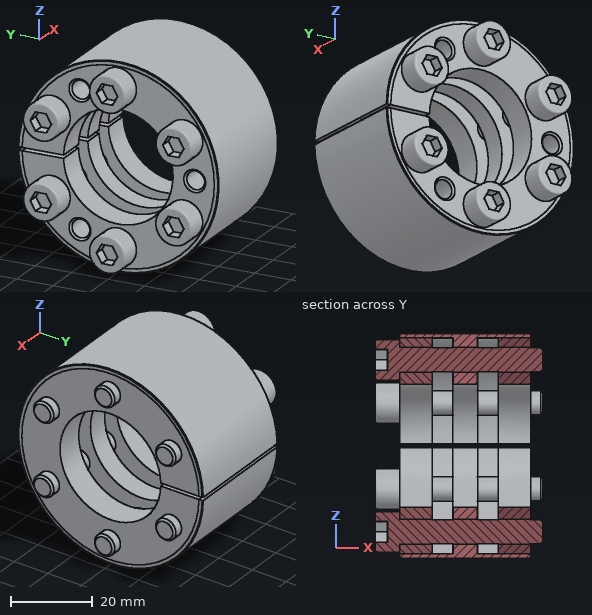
import cadquery as cq
import math

outer_diameter = 55.0
overall_length = 41.0
body_length = 32.0
bore_diameter = 30.0
slit_width = 0.9

seat_diameter = 52.7
sleeve_chamfer = 0.2
clamping_ring_length = 8.0
web_gap = 5.0

screw_count = 6
hole_circle_diameter = 41.95
head_diameter = 10.0
head_length = 6.0
head_fillet = 0.55
shank_diameter = 6.0
tip_chamfer = 0.55
hex_across_flats = 5.0
hex_depth = 3.0

jack_hole_count = 3
jack_hole_diameter = 4.9
jack_hole_mouth_diameter = 6.0

rear_ring_start = body_length - clamping_ring_length
web_start = clamping_ring_length + web_gap
web_length = body_length - 2 * web_start
hole_circle_radius = hole_circle_diameter / 2
shank_length = overall_length - head_length
screw_step = 360.0 / screw_count
first_screw_angle = screw_step / 2
screw_angles = [first_screw_angle + i * screw_step for i in range(screw_count)]
jack_step = 360.0 / jack_hole_count
first_jack_angle = 180.0
jack_angles = [first_jack_angle + i * jack_step for i in range(jack_hole_count)]


def cylinder(diameter, start, length):
    """Solid cylinder along +X that begins at X = start."""
    return cq.Workplane("YZ").workplane(offset=start).circle(diameter / 2).extrude(length)


def on_hole_circle(shape, angle):
    """Move a shape from the X axis to the hole circle; the angle runs from +Y toward +Z."""
    y = hole_circle_radius * math.cos(math.radians(angle))
    z = hole_circle_radius * math.sin(math.radians(angle))
    return shape.translate((0, y, z))


def cut_slit(body):
    """Cut the radial slit that opens the ring on its +Y side."""
    slit = cq.Workplane("XY").box(
        body_length, outer_diameter, slit_width, centered=(False, False, True)
    )
    return body.cut(slit)


def cut_screw_holes(ring):
    """Drill the holes that the screw shanks fill."""
    for angle in screw_angles:
        ring = ring.cut(on_hole_circle(cylinder(shank_diameter, 0, body_length), angle))
    return ring


def make_outer_sleeve():
    """Sleeve whose two ring seats leave a web in the middle that reaches in to the bore."""
    sleeve = cylinder(outer_diameter, 0, body_length).faces("<X or >X").chamfer(sleeve_chamfer)
    for seat_start in (0, web_start + web_length):
        sleeve = sleeve.cut(cylinder(seat_diameter, seat_start, web_start))
    sleeve = sleeve.cut(cylinder(bore_diameter, 0, body_length))
    return cut_slit(cut_screw_holes(sleeve))


def make_clamping_ring(start):
    """Split ring that fills one sleeve seat, beginning at X = start."""
    ring = cylinder(seat_diameter, start, clamping_ring_length)
    ring = ring.cut(cylinder(bore_diameter, start, clamping_ring_length))
    return cut_slit(cut_screw_holes(ring))


def make_jack_hole():
    """Through hole of the front ring with a 45 degree countersunk mouth."""
    mouth_radius = jack_hole_mouth_diameter / 2
    hole_radius = jack_hole_diameter / 2
    mouth_depth = mouth_radius - hole_radius
    half_section = (
        cq.Workplane("XY")
        .lineTo(0, mouth_radius)
        .lineTo(mouth_depth, hole_radius)
        .lineTo(clamping_ring_length, hole_radius)
        .lineTo(clamping_ring_length, 0)
        .close()
    )
    return half_section.revolve(360, (0, 0, 0), (1, 0, 0))


def make_front_ring():
    ring = make_clamping_ring(0)
    for angle in jack_angles:
        ring = ring.cut(on_hole_circle(make_jack_hole(), angle))
    return ring


def make_rear_ring():
    return make_clamping_ring(rear_ring_start)


def make_screw(angle):
    """Socket head cap screw at one place on the hole circle."""
    head = cylinder(head_diameter, -head_length, head_length)
    head = head.faces("<X").edges().fillet(head_fillet)
    hex_corner_diameter = hex_across_flats / math.cos(math.radians(30))
    head_face = cq.Workplane("YZ").workplane(offset=-head_length)
    socket = head_face.polygon(6, hex_corner_diameter).extrude(hex_depth)
    shank = cylinder(shank_diameter, 0, shank_length).faces(">X").chamfer(tip_chamfer)
    return on_hole_circle(head.cut(socket).union(shank), angle)


outer_sleeve = make_outer_sleeve()
front_ring = make_front_ring()
rear_ring = make_rear_ring()
screws = [make_screw(angle) for angle in screw_angles]

result = cq.Compound.makeCompound(
    [outer_sleeve.val(), front_ring.val(), rear_ring.val(), *[screw.val() for screw in screws]]
)